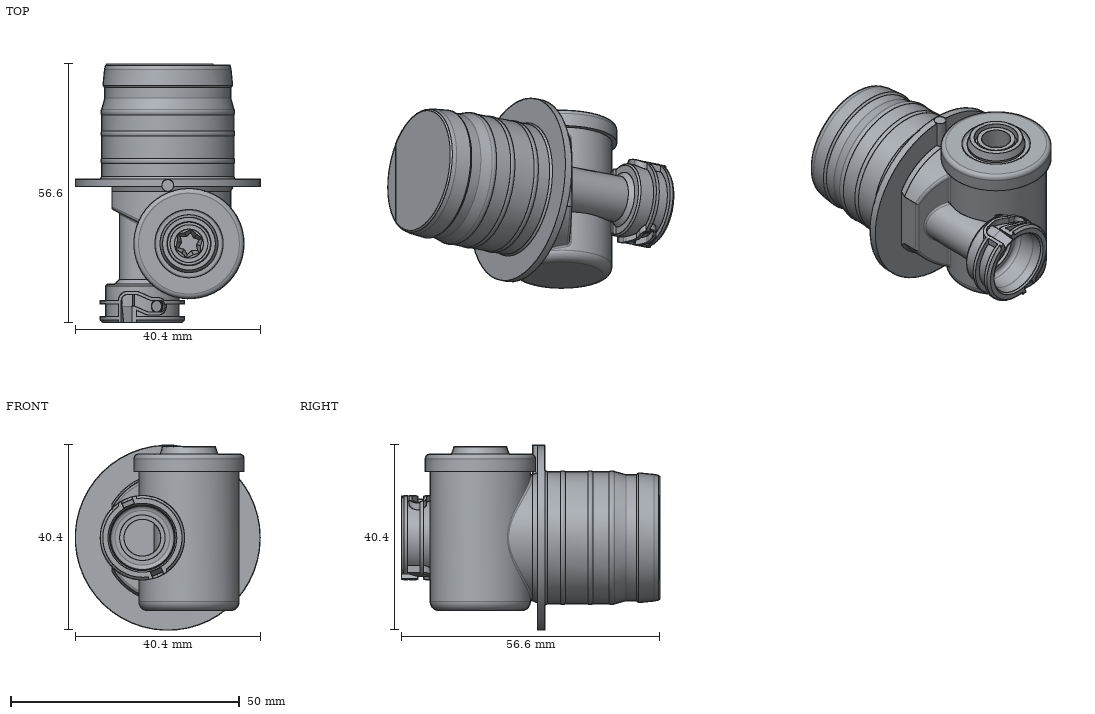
import cadquery as cq
import math


FLANGE_RADIUS = 40.4 / 2
FLANGE_THICKNESS = 1.65

BARREL_END = 26.85
BARREL_RADIUS = 14.5
BEAD_HEIGHT = 0.14
BEAD_LENGTH = 1.1
BEAD_CENTERS = (5.6, 11.6)
SHOULDER_START = 15.7
SHOULDER_END = 16.85
NECK_START = 19.35
NECK_END = 21.65
NECK_RADIUS = 13.8
LIP_START = 22.15
LIP_RADIUS = 14.2
LIP_BEVEL_START = 25.55
LIP_BEVEL_RADIUS = 13.85
RIM_RADIUS = 13.6
RIM_CHAMFER = 0.35
RIM_STEP_DEPTH = 0.2
RIM_STEP_X = 9.9
ROOT_FLARE = 0.3
ROOT_FLARE_LENGTH = 0.55

BODY_RADIUS = 13.8
BODY_FLARE = 0.45
BODY_FLARE_LENGTH = 1.0
BODY_SIDE_X = -12.2
BODY_SLOPE_START = -4.85
BODY_SLOPE_ANGLE = 27
BODY_EDGE_FILLET = 0.75

VALVE_X = 4.65
VALVE_Y = -12.45
VALVE_RADIUS = 10.95
VALVE_BOTTOM = -15.95
VALVE_BOTTOM_FILLET = 2.05
CAP_RADIUS = 12.05
CAP_BOTTOM = 14.4
CAP_TOP = 18.25
CAP_FILLET = 1.0

HUB_TOP = 19.9
HUB_BASE_RADIUS = 6.35
HUB_TOP_RADIUS = 5.75
MOAT_RADIUS = 7.45
MOAT_DEPTH = 0.45
GROOVE_TOP_RADIUS = 4.8
GROOVE_FLOOR_RADIUS = 4.7
GROOVE_DEPTH = 1.7
SLEEVE_RADIUS = 4.1
SLEEVE_TOP = 19.5
SHAFT_HOLE_RADIUS = 3.15
SHAFT_HOLE_DEPTH = 5.1
SOCKET_DEPTH = 2.25
SOCKET_POINTS = 6
SOCKET_TURN = 21
SOCKET_TOP_RADIUS = SHAFT_HOLE_RADIUS
SOCKET_TOP_VALLEY = 2.6
SOCKET_FLOOR_RADIUS = 2.45
SOCKET_FLOOR_VALLEY = 1.65

PIN_Y = 0.3
PIN_RADIUS = 1.3
PIN_TOP = FLANGE_RADIUS + 0.015

SPOUT_X = -5.55
TUBE_RADIUS = 5.05
TUBE_FRONT = -20.25
TUBE_FILLET = 0.45
CONE_RADIUS = 6.05
COLLAR_BACK = -21.25
COLLAR_FRONT = BARREL_END - 56.55
COLLAR_RADIUS = 8.05
COLLAR_BEVEL = 0.4
WEB_BACK = -20.5
WEB_RADIUS = 7.8
WEB_FILLET = 0.45
WEB_LEFT_X = -3.7

RING_RADIUS = 9.2
RING_CLEARANCE = 9.9
RING_BACK = -24.9
RING_FRONT = -25.6
MOUTH_RING_BACK = -28.4
MOUTH_CHAMFER = 0.55

MOUTH_RADIUS = 7.5
MOUTH_BEVEL_END = -29.25
ENTRY_BORE_RADIUS = 7.2
ENTRY_BORE_END = -27.15
SEAT_BORE_RADIUS = 6.95
SEAT_FLOOR = -22.45
SEAT_FILLET = 0.95
STEP_RADIUS = 5.0
STEP_FLOOR = -21.6
BORE_RADIUS = 4.0
BORE_END = -2.25
SPINDLE_RADIUS = 7.65

TRACK_WIDTH = 2.55
TRACK_WALL = 0.7
TRACK_FLOOR_RADIUS = 7.75
TRACK_CORE_RADIUS = 7.3
TRACK_START_X = -3.3
TRACK_RAMP_START_X = -1.4
TRACK_RAMP_END_X = 1.6
TRACK_END_X = 3.3
TRACK_START_Y = -24.8
TRACK_END_Y = -26.1
TRACK_ENTRY_ANGLE = 22.5
ENTRY_FLOOR_BACK = 8.6
ENTRY_FLOOR_FRONT = 7.6
ENTRY_RAMP_BACK = -26.1
DIMPLE_FLOOR_RADIUS = 7.35
DIMPLE_ANGLE = 24.5

EDGE = 33.9


def turned(profile, axis_x=0.0):
    """Solid of revolution about the line x = axis_x parallel to Y, from (radius, y) points."""
    points = [(axis_x + radius, y) for radius, y in profile]
    return cq.Workplane("XY").polyline(points).close().revolve(360, (axis_x, 0, 0), (axis_x, 1, 0))


def disc(radius, y_start, y_end, axis_x=0.0):
    return turned([(0, y_start), (radius, y_start), (radius, y_end), (0, y_end)], axis_x)


def post(radius, z_bottom, z_top, x=VALVE_X, y=VALVE_Y):
    return cq.Workplane("XY", origin=(x, y, z_bottom)).circle(radius).extrude(z_top - z_bottom)


def add_bead(outline, start, end):
    """Continue the barrel outline with a low rounded bead between two Y positions."""
    crest = (BARREL_RADIUS + BEAD_HEIGHT, (start + end) / 2)
    return outline.lineTo(BARREL_RADIUS, start).threePointArc(crest, (BARREL_RADIUS, end))


def make_barrel():
    outline = (
        cq.Workplane("XY")
        .lineTo(FLANGE_RADIUS, 0)
        .lineTo(FLANGE_RADIUS, FLANGE_THICKNESS)
        .lineTo(BARREL_RADIUS + ROOT_FLARE, FLANGE_THICKNESS)
        .lineTo(BARREL_RADIUS, FLANGE_THICKNESS + ROOT_FLARE_LENGTH)
    )
    for center in BEAD_CENTERS:
        outline = add_bead(outline, center - BEAD_LENGTH / 2, center + BEAD_LENGTH / 2)
    outline = (
        add_bead(outline, SHOULDER_START, SHOULDER_END)
        .lineTo(NECK_RADIUS, NECK_START)
        .lineTo(NECK_RADIUS, NECK_END)
        .lineTo(LIP_RADIUS, LIP_START)
        .lineTo(LIP_BEVEL_RADIUS, LIP_BEVEL_START)
        .lineTo(RIM_RADIUS, BARREL_END - RIM_CHAMFER)
        .lineTo(RIM_RADIUS - RIM_CHAMFER, BARREL_END)
        .lineTo(0, BARREL_END)
        .close()
    )
    step = cq.Workplane("XY").box(EDGE, EDGE, EDGE, centered=(False, False, True))
    step = step.translate((RIM_STEP_X, BARREL_END - RIM_STEP_DEPTH, 0))
    return outline.revolve(360, (0, 0, 0), (0, 1, 0)).cut(step)


def make_transition_body():
    """Drum from the flange to the valve, with a flat side and a sloping front-left face."""
    slope_drop = (VALVE_X - BODY_SIDE_X) * math.tan(math.radians(BODY_SLOPE_ANGLE))
    plan = [
        (BODY_SIDE_X, 0),
        (BODY_SIDE_X, BODY_SLOPE_START),
        (VALVE_X, BODY_SLOPE_START - slope_drop),
        (EDGE, VALVE_Y),
        (EDGE, 0),
    ]
    drum = turned([
        (0, VALVE_Y),
        (BODY_RADIUS, VALVE_Y),
        (BODY_RADIUS, -BODY_FLARE_LENGTH),
        (BODY_RADIUS + BODY_FLARE, 0),
        (0, 0),
    ])
    body = drum.intersect(cq.Workplane("XY").polyline(plan).close().extrude(EDGE, both=True))
    slope_middle = ((BODY_SIDE_X + VALVE_X) / 2, BODY_SLOPE_START - slope_drop / 2, 0)
    slope = body.faces(cq.NearestToPointSelector(slope_middle))
    outer_edges = cq.selectors.BoxSelector((-EDGE, VALVE_Y, -EDGE), (0, 0, EDGE))
    return slope.edges(outer_edges).fillet(BODY_EDGE_FILLET)


def make_valve():
    housing = post(VALVE_RADIUS, VALVE_BOTTOM, CAP_BOTTOM).faces("<Z").edges().fillet(VALVE_BOTTOM_FILLET)
    cap = post(CAP_RADIUS, CAP_BOTTOM, CAP_TOP).faces(">Z").edges().fillet(CAP_FILLET)
    moat = post(MOAT_RADIUS, CAP_TOP - MOAT_DEPTH, CAP_TOP).faces("<Z").edges().fillet(MOAT_DEPTH / 2)
    hub_base = cq.Workplane("XY", origin=(VALVE_X, VALVE_Y, CAP_TOP)).circle(HUB_BASE_RADIUS)
    hub = hub_base.workplane(offset=HUB_TOP - CAP_TOP).circle(HUB_TOP_RADIUS).loft()
    stub = post(HUB_BASE_RADIUS, CAP_TOP - MOAT_DEPTH, CAP_TOP)
    return housing.union(cap).cut(moat).union(stub).union(hub)


def star(tip_radius, valley_radius):
    """Corner points of the drive socket, tips and valleys alternating."""
    points = []
    for corner in range(2 * SOCKET_POINTS):
        radius = valley_radius if corner % 2 else tip_radius
        angle = math.radians(SOCKET_TURN + corner * 180 / SOCKET_POINTS)
        points.append((radius * math.cos(angle), radius * math.sin(angle)))
    return points


def make_hub_recess():
    """Ring groove around a central sleeve, whose hole ends in a star-shaped drive socket."""
    groove = cq.Workplane("XY", origin=(VALVE_X, VALVE_Y, HUB_TOP - GROOVE_DEPTH)).circle(GROOVE_FLOOR_RADIUS)
    groove = groove.workplane(offset=GROOVE_DEPTH).circle(GROOVE_TOP_RADIUS).loft()
    groove = groove.cut(post(SLEEVE_RADIUS, HUB_TOP - GROOVE_DEPTH, SLEEVE_TOP))
    hole_floor = HUB_TOP - SHAFT_HOLE_DEPTH
    hole = post(SHAFT_HOLE_RADIUS, hole_floor, HUB_TOP)
    socket = cq.Workplane("XY", origin=(VALVE_X, VALVE_Y, hole_floor - SOCKET_DEPTH))
    socket = socket.polyline(star(SOCKET_FLOOR_RADIUS, SOCKET_FLOOR_VALLEY)).close()
    socket = socket.workplane(offset=SOCKET_DEPTH)
    socket = socket.polyline(star(SOCKET_TOP_RADIUS, SOCKET_TOP_VALLEY)).close().loft(ruled=True)
    return groove.union(hole).union(socket)


def make_body():
    """Barrel, flange, valve housing and spout tube, blended where they meet."""
    pin = post(PIN_RADIUS, 0, PIN_TOP, 0, PIN_Y)
    tube = disc(TUBE_RADIUS, BORE_END, RING_BACK, SPOUT_X)
    body = make_barrel().union(make_transition_body()).union(pin).union(make_valve()).union(tube)
    tube_seams = cq.selectors.BoxSelector((-10.2, -19.8, -2.8), (0, -5.65, 2.8))
    slope_seams = cq.selectors.BoxSelector((-6.8, -9.05, -10.2), (-4.5, -7.35, 10.2))
    return body.edges(tube_seams + slope_seams).fillet(TUBE_FILLET)


def make_collar():
    outline = [
        (0, TUBE_FRONT),
        (TUBE_RADIUS, TUBE_FRONT),
        (CONE_RADIUS, COLLAR_BACK),
        (COLLAR_RADIUS - COLLAR_BEVEL, COLLAR_BACK),
        (COLLAR_RADIUS, COLLAR_BACK - COLLAR_BEVEL),
        (COLLAR_RADIUS, RING_BACK),
        (RING_RADIUS, RING_BACK),
        (RING_RADIUS, RING_FRONT),
        (COLLAR_RADIUS, RING_FRONT),
        (COLLAR_RADIUS, MOUTH_RING_BACK),
        (RING_RADIUS, MOUTH_RING_BACK),
        (RING_RADIUS, COLLAR_FRONT + MOUTH_CHAMFER),
        (RING_RADIUS - MOUTH_CHAMFER, COLLAR_FRONT),
        (0, COLLAR_FRONT),
    ]
    web = disc(WEB_RADIUS, COLLAR_BACK, WEB_BACK, SPOUT_X).faces(">Y").edges().fillet(WEB_FILLET)
    web_side = cq.Workplane("XY").box(EDGE, EDGE, EDGE, centered=(False, True, True))
    web_side = web_side.translate((WEB_LEFT_X, COLLAR_BACK, 0))
    return turned(outline, SPOUT_X).union(web.intersect(web_side))


def make_spout_bore():
    """Stepped bore; the valve spindle still stands in its inner end."""
    bore = turned([
        (0, COLLAR_FRONT),
        (MOUTH_RADIUS, COLLAR_FRONT),
        (ENTRY_BORE_RADIUS, MOUTH_BEVEL_END),
        (SEAT_BORE_RADIUS, ENTRY_BORE_END),
        (SEAT_BORE_RADIUS, SEAT_FLOOR),
        (0, SEAT_FLOOR),
    ], SPOUT_X)
    bore = bore.faces(">Y").edges().fillet(SEAT_FILLET)
    bore = bore.union(disc(STEP_RADIUS, SEAT_FLOOR, STEP_FLOOR, SPOUT_X))
    bore = bore.union(disc(BORE_RADIUS, STEP_FLOOR, BORE_END, SPOUT_X))
    return bore.cut(post(SPINDLE_RADIUS, VALVE_BOTTOM, CAP_TOP))


def track_prism(width, height, with_entry=False):
    """Bent path of one bayonet track, as a prism standing above the spout axis.

    The path may begin with the straight entry from the mouth.
    """
    path = [
        (TRACK_START_X, TRACK_START_Y),
        (TRACK_RAMP_START_X, TRACK_START_Y),
        (TRACK_RAMP_END_X, TRACK_END_Y),
        (TRACK_END_X, TRACK_END_Y),
    ]
    if with_entry:
        path.insert(0, (TRACK_START_X, COLLAR_FRONT))
    prism = cq.Workplane("XY")
    for (x1, y1), (x2, y2) in zip(path, path[1:]):
        run = math.hypot(x2 - x1, y2 - y1)
        turn = math.degrees(math.atan2(y2 - y1, x2 - x1))
        center = (SPOUT_X + (x1 + x2) / 2, (y1 + y2) / 2, 0)
        piece = cq.Workplane("XY", origin=center).slot2D(run + width, width, turn).extrude(height)
        prism = prism.union(piece)
    return prism


def about_spout(shape, angle):
    return shape.rotate((SPOUT_X, 0, 0), (SPOUT_X, 1, 0), angle)


def entry_block(section, width):
    """Bar along the entry of a track, from (y, distance from the spout axis) points."""
    bar = cq.Workplane("YZ", origin=(SPOUT_X, 0, 0)).polyline(section).close().extrude(width / 2, both=True)
    return about_spout(bar, -TRACK_ENTRY_ANGLE)


def make_track_blank(outer_radius):
    """Raised band along one track, solid from the collar wall out to the given radius."""
    shell = disc(outer_radius, COLLAR_FRONT, COLLAR_BACK, SPOUT_X)
    shell = shell.cut(disc(TRACK_CORE_RADIUS, COLLAR_FRONT, COLLAR_BACK, SPOUT_X))
    return track_prism(TRACK_WIDTH + 2 * TRACK_WALL, RING_CLEARANCE, with_entry=True).intersect(shell)


def make_track_cut():
    """Bent groove with an end dimple, and a raised entry floor that ramps down to the mouth."""
    back = TRACK_START_Y + TRACK_WIDTH
    floor = [(back, ENTRY_FLOOR_BACK), (ENTRY_RAMP_BACK, ENTRY_FLOOR_BACK), (COLLAR_FRONT, ENTRY_FLOOR_FRONT)]
    below_floor = entry_block(floor + [(COLLAR_FRONT, 0), (back, 0)], TRACK_WIDTH)
    floor[0] = (TRACK_START_Y, ENTRY_FLOOR_BACK)
    open_top = [(COLLAR_FRONT, RING_CLEARANCE), (TRACK_START_Y, RING_CLEARANCE)]
    above_floor = entry_block(floor + open_top, TRACK_WIDTH)
    core = disc(TRACK_FLOOR_RADIUS, COLLAR_FRONT, COLLAR_BACK, SPOUT_X)
    groove = track_prism(TRACK_WIDTH, RING_CLEARANCE).cut(core)
    dimple = cq.Workplane("XY", origin=(SPOUT_X, TRACK_END_Y, DIMPLE_FLOOR_RADIUS))
    dimple = about_spout(dimple.circle(TRACK_WIDTH / 2).extrude(RING_RADIUS), DIMPLE_ANGLE)
    return groove.cut(below_floor).union(above_floor).union(dimple)


track_room = make_track_blank(RING_CLEARANCE)
track = make_track_blank(RING_RADIUS).cut(make_track_cut())
collar = make_collar()
for half_turn in (0, 180):
    collar = collar.cut(about_spout(track_room, half_turn)).union(about_spout(track, half_turn))

bore = make_spout_bore()
result = make_body().union(collar.cut(bore)).cut(bore).cut(make_hub_recess())